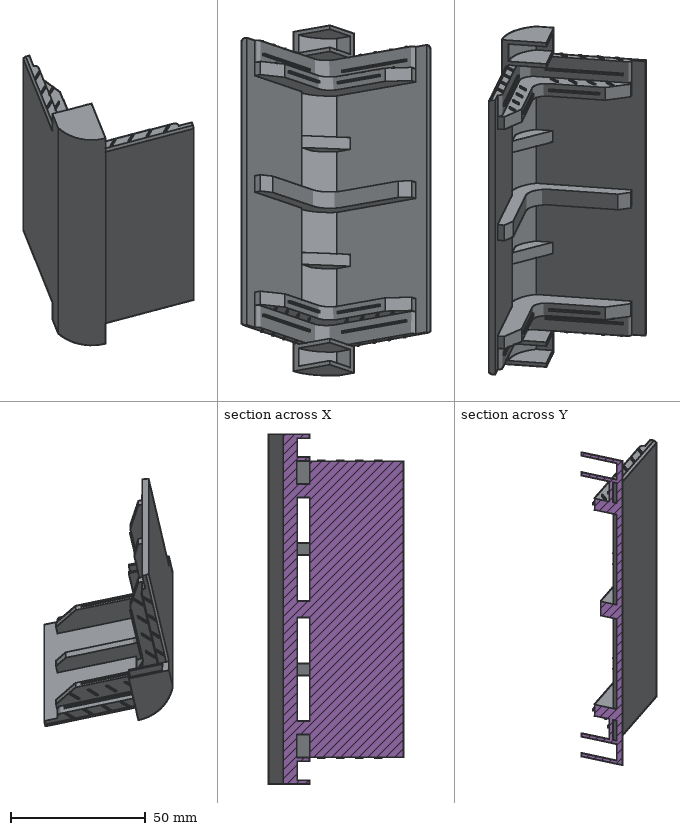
import cadquery as cq
import math


total_height = 130.0
cap_height = 10.0
plate_length = 50.3
plate_thickness = 2.5
chamfer_depth = 1.0
chamfer_height = 0.8

corner_size = 15.3
corner_bulge = 1.4
corner_radius = corner_size + corner_bulge
shell_thickness = 2.5
cap_wall = 1.5

tip_margin = 5.1
rib_end_height = 5.1
rib_slope_angle = 30.0
end_rib_height = 10.0
end_rib_width = 5.1
middle_rib_height = 7.5
middle_rib_width = 6.2
pad_height = 4.0
pad_width = 8.5
pad_corner_radius = 5.2

gusset_width = 4.5
gusset_offset = 22.4

line_height = 0.6
line_width = 0.6
hatch_height = 0.4
hatch_width = 0.5
hatch_count = 5
hatch_pitch = 7.0
hatch_start = 12.2
pad_hatch_front = 1.3
pad_hatch_back = 3.6
rib_hatch_front = 5.3
rib_hatch_back = 8.2
pad_line_start = 8.0
pad_line_end = 37.3
pad_line_depth = 5.1
rib_line_start = 15.9

plate_height = total_height - 2 * cap_height
plate_top = plate_height / 2
pad_bottom = plate_top - pad_width
end_rib_bottom = pad_bottom - end_rib_width
cavity_height = cap_height - 2 * cap_wall


def mirrored_plate(solid):
    """The same solid on the other plate."""
    return solid.mirror(mirrorPlane=cq.Vector(1, 1, 0))


def both_plates(solid):
    return solid.union(mirrored_plate(solid))


def both_ends(solid):
    return solid.union(solid.mirror("XY"))


def prism(outline, bottom, height):
    """Closed XY outline raised from the level bottom."""
    return outline.extrude(height).translate((0, 0, bottom))


def box(x_start, x_end, y_start, y_end, z_start, z_end):
    size = (x_end - x_start, y_end - y_start, z_end - z_start)
    return cq.Workplane("XY").box(*size, centered=False).translate((x_start, y_start, z_start))


def plate():
    """The plate along X up to the corner block, with its outer top and bottom edges chamfered."""
    body = box(-plate_length, -corner_size, 0, plate_thickness, -plate_top, plate_top)
    bevel = (
        cq.Workplane("YZ")
        .polyline([(0, plate_top - chamfer_height), (chamfer_depth, plate_top), (0, plate_top)])
        .close()
        .extrude(plate_length - corner_size)
        .translate((-plate_length, 0, 0))
    )
    return body.cut(both_ends(bevel))


def corner_disc(radius, bottom, height):
    """Quarter disc about the inner edge of the corner block, cut flat at the outer face Y = 0."""
    disc = cq.Workplane("XY").center(-corner_size, corner_size).circle(radius)
    block = box(-corner_size, corner_radius, 0, corner_size, bottom, bottom + height)
    return prism(disc, bottom, height).intersect(block)


def corner_shell():
    """Curved wall over the full height, with a hollow cap at each end."""
    wall = corner_disc(corner_radius, -total_height / 2, total_height)
    inner_disc = corner_disc(corner_radius - shell_thickness, -total_height / 2, total_height)
    inner = inner_disc.intersect(
        box(-corner_size, corner_radius, plate_thickness, corner_size, -total_height / 2, total_height / 2)
    )
    cavity_bottom = plate_top + cap_wall
    slab = box(-corner_size, corner_radius, 0, corner_size, cavity_bottom, cavity_bottom + cavity_height)
    middle = box(-corner_size, corner_radius, 0, corner_size, -plate_top, plate_top)
    openings = inner.intersect(both_ends(slab).union(middle))
    return wall.cut(openings)


def inner_corner_fill(height, radius, bottom, width):
    """Concave rounding where a rib or pad turns from one plate to the other."""
    outline = (
        cq.Workplane("XY")
        .moveTo(corner_bulge, 0)
        .lineTo(-height - radius, 0)
        .lineTo(-height - radius, height)
        .radiusArc((-height, height + radius), -radius)
        .lineTo(corner_bulge, height + radius)
        .close()
    )
    return prism(outline, bottom, width).intersect(corner_disc(corner_radius, bottom, width))


def rib(height, bottom, width):
    """L-shaped rib whose free ends slope down towards the plate tips."""
    tip = tip_margin - plate_length
    slope_run = (height - rib_end_height) / math.tan(math.radians(rib_slope_angle))
    arm = cq.Workplane("XY").polyline(
        [
            (tip, 0),
            (tip, rib_end_height),
            (tip + slope_run, height),
            (-corner_size, height),
            (-corner_size, 0),
        ]
    ).close()
    arms = both_plates(prism(arm, bottom, width))
    return arms.union(inner_corner_fill(height, corner_size - height, bottom, width))


def pad():
    """Low L-shaped pad with rounded free ends, flush with the plate top."""
    tip = tip_margin - plate_length
    rounding = pad_height - plate_thickness
    corner_reach = pad_height + pad_corner_radius
    arm = (
        cq.Workplane("XY")
        .moveTo(tip, plate_thickness)
        .radiusArc((tip + rounding, pad_height), rounding)
        .lineTo(-corner_reach, pad_height)
        .lineTo(-corner_reach, plate_thickness)
        .close()
    )
    arms = both_plates(prism(arm, pad_bottom, pad_width))
    return arms.union(inner_corner_fill(pad_height, pad_corner_radius, pad_bottom, pad_width))


def gusset():
    outline = cq.Workplane("XY").polyline(
        [
            (-corner_size, plate_thickness),
            (-plate_thickness, corner_size),
            (-plate_thickness, plate_thickness),
        ]
    ).close()
    bottom = gusset_offset - gusset_width / 2
    return prism(outline, bottom, gusset_width).intersect(corner_disc(corner_radius, bottom, gusset_width))


def edge_lines():
    """Raised lines along the inner faces of the pad and the end rib."""
    pad_z = plate_top - pad_line_depth
    rib_z = (pad_bottom + end_rib_bottom) / 2
    pad_line = box(
        pad_line_start - plate_length, pad_line_end - plate_length,
        pad_height, pad_height + line_height,
        pad_z - line_width / 2, pad_z + line_width / 2,
    )
    rib_line = box(
        rib_line_start - plate_length, -corner_size,
        end_rib_height, end_rib_height + line_height,
        rib_z - line_width / 2, rib_z + line_width / 2,
    )
    return both_plates(pad_line.union(rib_line))


def hatch_lines(first, last, y_start, y_end, level):
    """Raised 45 degree lines on the faces of one plate at the given level."""
    half_step = hatch_width / math.sqrt(2)
    lines = cq.Workplane("XY")
    for index in range(first, last + 1):
        diagonal = hatch_start + index * hatch_pitch - plate_length
        outline = cq.Workplane("XY").polyline(
            [
                (diagonal - y_start - half_step, y_start),
                (diagonal - y_start + half_step, y_start),
                (diagonal - y_end + half_step, y_end),
                (diagonal - y_end - half_step, y_end),
            ]
        ).close()
        lines.add(prism(outline, level, hatch_height))
    return lines.combine()


end_rib = rib(end_rib_height, end_rib_bottom, end_rib_width)
top_pad = pad()

pad_hatch = hatch_lines(0, hatch_count - 2, pad_hatch_front, pad_hatch_back, plate_top)
rib_hatch = hatch_lines(1, hatch_count - 1, rib_hatch_front, rib_hatch_back, pad_bottom)
rib_hatch = rib_hatch.intersect(end_rib.translate((0, 0, hatch_height)))
hatching = both_plates(pad_hatch.union(rib_hatch))

end_features = end_rib.union(top_pad).union(gusset()).union(edge_lines()).union(hatching)
middle_rib = rib(middle_rib_height, -middle_rib_width / 2, middle_rib_width)

result = both_plates(plate()).union(corner_shell()).union(middle_rib).union(both_ends(end_features)).clean()